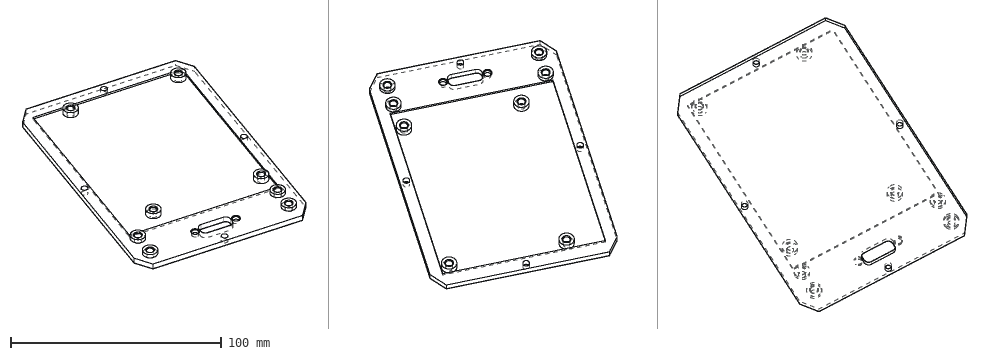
import cadquery as cq

length = 131.8
width = 92.0
plate_thickness = 3.0
corner_cut_x = 8.0
corner_cut_y = 5.9

recess_left = -58.8
recess_length = 100.0
recess_width = 80.0
recess_depth = 1.0

boss_diameter = 7.4
boss_height = 2.0
recess_boss_left, recess_boss_right = -54.8, 31.1
recess_boss_back, recess_boss_front = 35.8, -21.9
side_boss_y = 37.4
side_boss_inner_x = 45.2
side_boss_back_x = 56.7
side_boss_front_x = 57.9

bore_diameter = 3.4
countersink_diameter = 4.2
countersink_depth = 0.4
hole_floor_z = 1.0

mount_hole_diameter = 3.2
mount_hole_inset = 3.3

connector_x = 53.2
opening_length = 16.9
opening_width = 6.9
opening_corner_radius = 2.5
connector_screw_offset = 11.0

recess_floor = plate_thickness - recess_depth

recess_boss_points = [
    (x, y)
    for x in (recess_boss_left, recess_boss_right)
    for y in (recess_boss_back, recess_boss_front)
]
side_boss_points = [
    (side_boss_inner_x, side_boss_y),
    (side_boss_back_x, side_boss_y),
    (side_boss_inner_x, -side_boss_y),
    (side_boss_front_x, -side_boss_y),
]
connector_screw_points = [(connector_x, side * connector_screw_offset) for side in (-1, 1)]
mount_x = length / 2 - mount_hole_inset
mount_y = width / 2 - mount_hole_inset
mount_points = [(mount_x, 0), (-mount_x, 0), (0, mount_y), (0, -mount_y)]


def make_plate():
    """Rectangular plate with cut corners and a recessed field."""
    half_x = length / 2
    half_y = width / 2
    flat_x = half_x - corner_cut_x
    flat_y = half_y - corner_cut_y
    outline = [
        (-flat_x, -half_y), (flat_x, -half_y),
        (half_x, -flat_y), (half_x, flat_y),
        (flat_x, half_y), (-flat_x, half_y),
        (-half_x, flat_y), (-half_x, -flat_y),
    ]
    plate = cq.Workplane("XY").polyline(outline).close().extrude(plate_thickness)
    recess = (
        cq.Workplane("XY", origin=(recess_left + recess_length / 2, 0, recess_floor))
        .rect(recess_length, recess_width)
        .extrude(recess_depth)
    )
    return plate.cut(recess)


def make_bosses(points, base_z, top_z):
    """Cylinders standing on the given level."""
    return (
        cq.Workplane("XY", origin=(0, 0, base_z))
        .pushPoints(points)
        .circle(boss_diameter / 2)
        .extrude(top_z - base_z)
    )


def make_screw_hole(point, mouth_z):
    """Blind round hole with a countersunk mouth at mouth_z."""
    bore = (
        cq.Workplane("XY", origin=(*point, hole_floor_z))
        .circle(bore_diameter / 2)
        .extrude(mouth_z - hole_floor_z)
    )
    countersink = (
        cq.Workplane("XY", origin=(*point, mouth_z - countersink_depth))
        .circle(bore_diameter / 2)
        .workplane(offset=countersink_depth)
        .circle(countersink_diameter / 2)
        .loft()
    )
    return bore.union(countersink)


def make_through_cuts():
    """Edge mounting holes and the rounded connector opening."""
    holes = (
        cq.Workplane("XY")
        .pushPoints(mount_points)
        .circle(mount_hole_diameter / 2)
        .extrude(plate_thickness)
    )
    opening = (
        cq.Workplane("XY", origin=(connector_x, 0, 0))
        .rect(opening_width, opening_length)
        .extrude(plate_thickness)
        .edges("|Z")
        .fillet(opening_corner_radius)
    )
    return holes.union(opening)


boss_top = plate_thickness + boss_height

result = make_plate()
result = result.union(make_bosses(recess_boss_points, recess_floor, boss_top))
result = result.union(make_bosses(side_boss_points, plate_thickness, boss_top))
result = result.cut(make_through_cuts())
for boss_point in recess_boss_points + side_boss_points:
    result = result.cut(make_screw_hole(boss_point, boss_top))
for screw_point in connector_screw_points:
    result = result.cut(make_screw_hole(screw_point, plate_thickness))